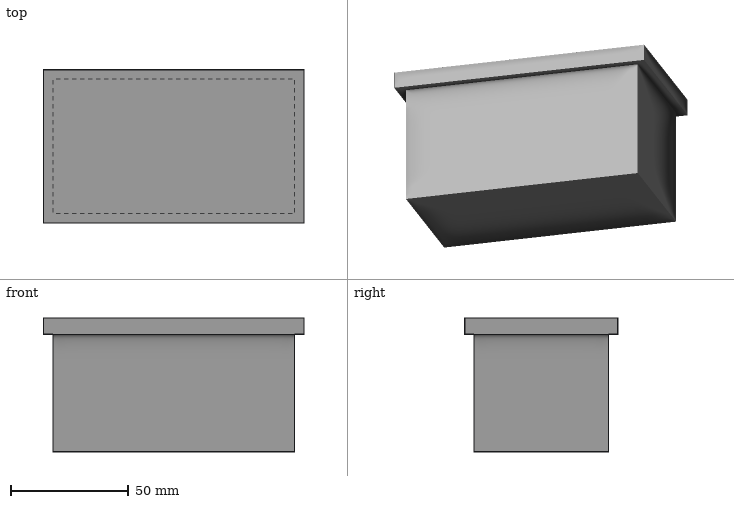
import cadquery as cq

lid_length = 111.0
lid_width = 65.3
lid_thickness = 7.0
total_height = 57.0
lid_overhang = 4.0

body_length = lid_length - 2 * lid_overhang
body_width = lid_width - 2 * lid_overhang
body_height = total_height - lid_thickness


def make_body():
    """Rectangular block standing on the XY plane."""
    return cq.Workplane("XY").rect(body_length, body_width).extrude(body_height)


def make_lid():
    """Flat plate on top of the body, overhanging it equally on all four sides."""
    return (
        cq.Workplane("XY")
        .workplane(offset=body_height)
        .rect(lid_length, lid_width)
        .extrude(lid_thickness)
    )


result = make_body().union(make_lid())